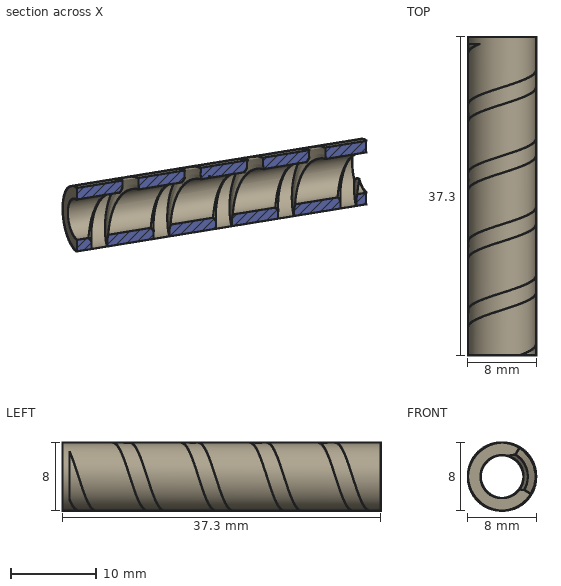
import cadquery as cq
import math

length = 37.28
outer_diameter = 8.0
bore_diameter = 5.0
outer_radius = outer_diameter / 2
bore_radius = bore_diameter / 2

pitch = 8.0
skin_thickness = 0.05
solid_end = 0.85
shoulder_radius = 3.02
groove_start_angle = -31.0
groove_end_angle = 59.0
mouth_radius = 2.35
upper_flare_angle = 30.0
lower_flare_angle = 9.0

groove_radius = outer_radius - skin_thickness
groove_length = length - solid_end
mid_angle = (groove_start_angle + groove_end_angle) / 2
turn_angle = 360.0 * groove_length / pitch


def polar(radius, angle):
    """Point at a radius and an angle in degrees around the tube axis."""
    radians = math.radians(angle)
    return radius * math.cos(radians), radius * math.sin(radians)


def make_cylinder(radius):
    """Full-length cylinder on the tube axis."""
    return cq.Workplane("XZ", origin=(0, -length / 2, 0)).circle(radius).extrude(-length)


def make_groove():
    """Cross-section of the groove, twisted about the tube axis as it runs toward +Y."""
    start_mouth = groove_start_angle - lower_flare_angle
    end_mouth = groove_end_angle + upper_flare_angle
    return (
        cq.Workplane("XZ", origin=(0, -length / 2, 0))
        .moveTo(*polar(mouth_radius, start_mouth))
        .lineTo(*polar(shoulder_radius, groove_start_angle))
        .lineTo(*polar(groove_radius, groove_start_angle))
        .threePointArc(polar(groove_radius, mid_angle), polar(groove_radius, groove_end_angle))
        .lineTo(*polar(shoulder_radius, groove_end_angle))
        .lineTo(*polar(mouth_radius, end_mouth))
        .threePointArc(polar(mouth_radius, mid_angle), polar(mouth_radius, start_mouth))
        .close()
        .twistExtrude(-groove_length, turn_angle)
    )


result = make_cylinder(outer_radius).cut(make_cylinder(bore_radius)).cut(make_groove())